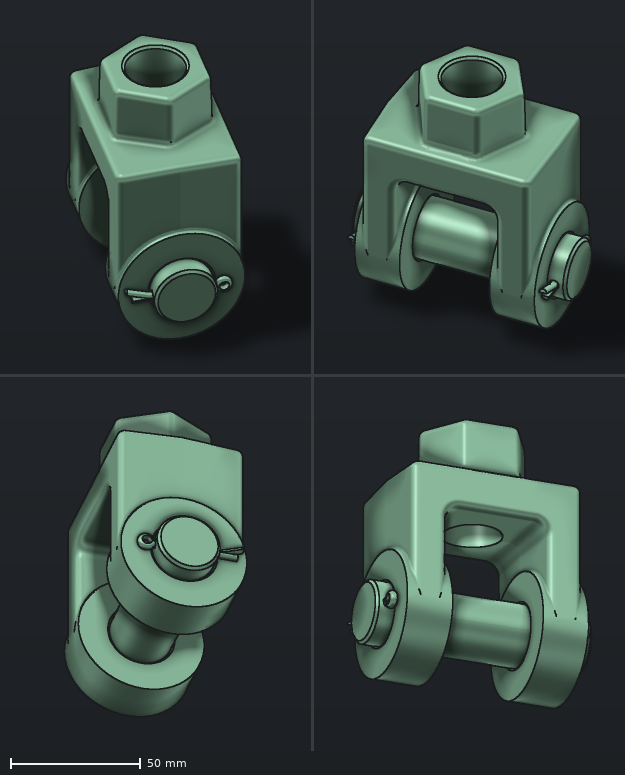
import cadquery as cq
import math


total_height = 104.8
draft_angle = 2.0
edge_radius = 3.1

boss_radius = 25.41
boss_width = 19.2
boss_spacing = 57.3
outer_boss_blend = 1.6
inner_boss_blend = 1.0
hole_chamfer = 0.8

fork_depth = 2 * boss_radius
fork_width = 73.0
fork_top = 57.1
slot_width = 41.4
slot_top = 38.2
slot_corner_radius = 4.9

socket_top = total_height - boss_radius
socket_flats = 39.0
socket_draft = 1.0
socket_blend = 3.1
socket_root = fork_top - 5.2
leg_trim = 10.5
bore_diameter = 23.9
bore_chamfer = 1.0

pin_diameter = 25.4
pin_length = 91.4
pin_chamfer = 1.2
cotter_hole_diameter = 4.0
cotter_spacing = 81.5

wire_radius = 1.62
eye_radius = 1.9
eye_center = 16.0
neck_radius = 1.7
bend_start = 12.5
bend_radius = 8.4
bend_angle = 20.0
bent_leg_length = 8.4
straight_leg_end = 20.6


def is_fork_rim(edge):
    """True for the edges of the end face and for the top corners, but not at the foot of the legs."""
    center = edge.Center()
    box = edge.BoundingBox()
    on_end_face = center.y < 0.01 - fork_depth / 2
    top_corner = box.zmin > slot_top + 2.1 and box.ylen > 1
    foot = center.z < 0 and box.zlen < 1
    return (on_end_face or top_corner) and not foot


def make_fork():
    """Downward U of drafted plates, its rims and outer top corners rounded, with legs down to z = 0."""
    half_width = fork_width / 2
    half_slot = slot_width / 2
    slot_side_top = slot_top - slot_corner_radius
    outline = (
        cq.Workplane("XZ")
        .moveTo(-half_width, -leg_trim)
        .lineTo(-half_width, fork_top)
        .lineTo(half_width, fork_top)
        .lineTo(half_width, -leg_trim)
        .lineTo(half_slot, -leg_trim)
        .lineTo(half_slot, slot_side_top)
        .radiusArc((half_slot - slot_corner_radius, slot_top), -slot_corner_radius)
        .lineTo(-half_slot + slot_corner_radius, slot_top)
        .radiusArc((-half_slot, slot_side_top), -slot_corner_radius)
        .lineTo(-half_slot, -leg_trim)
        .close()
    )
    half_fork = outline.extrude(fork_depth / 2, taper=draft_angle)
    half_fork = half_fork.edges().filter(is_fork_rim).fillet(edge_radius)
    fork = half_fork.union(half_fork.mirror("XZ"))

    below_legs = cq.Workplane("XY").rect(2 * fork_width, 2 * fork_depth).extrude(-2 * leg_trim)
    return fork.cut(below_legs)


def x_cylinder(radius, length, x_middle=0.0):
    """Cylinder along X on the pin axis."""
    return cq.Workplane("YZ", origin=(x_middle - length / 2, 0, 0)).circle(radius).extrude(length)


def boss_root(outer):
    """Test for the curves where the rounded flanks of the legs, outer or inner, run into the bosses."""

    def test(edge):
        middle = edge.positionAt(0.5)
        on_boss = abs(math.hypot(middle.y, middle.z) - boss_radius) < 0.01
        on_outer_flank = abs(middle.x) > boss_spacing / 2
        return on_boss and middle.z > 1 and on_outer_flank == outer

    return test


def is_socket_root(edge):
    """True for the outline of the socket on the top of the fork."""
    middle = edge.positionAt(0.5)
    box = edge.BoundingBox()
    in_height = fork_top - 1 < middle.z < fork_top + 0.1
    crease = box.ylen < 0.01
    beside_socket = abs(middle.x) < 25.1 and abs(middle.y) < fork_depth / 2 - edge_radius - 0.5
    return in_height and beside_socket and not crease


def make_socket():
    """Hexagonal prism with drafted flats and rounded edges, rooted inside the fork."""
    height = socket_top - socket_root
    root_flats = socket_flats + 2 * height * math.tan(math.radians(socket_draft))
    return (
        cq.Workplane("XY", origin=(0, 0, socket_root))
        .polygon(6, root_flats / math.cos(math.pi / 6))
        .extrude(height, taper=socket_draft)
        .edges("not #Z")
        .fillet(edge_radius)
        .faces(">Z")
        .edges()
        .fillet(edge_radius)
    )


def is_hole_rim(edge):
    """True for the circles where the pin hole opens on the boss faces."""
    return edge.geomType() == "CIRCLE" and abs(edge.radius() - pin_diameter / 2) < 0.01


def make_clevis():
    body = make_fork()
    for side in (-1, 1):
        body = body.union(x_cylinder(boss_radius, boss_width, side * boss_spacing / 2))
    body = body.edges().filter(boss_root(outer=True)).fillet(outer_boss_blend)
    body = body.edges().filter(boss_root(outer=False)).fillet(inner_boss_blend)
    body = body.union(make_socket())
    body = body.edges().filter(is_socket_root).fillet(socket_blend)

    bore = (
        cq.Workplane("XY", origin=(0, 0, boss_radius))
        .circle(bore_diameter / 2)
        .extrude(socket_top - boss_radius)
    )
    body = body.cut(bore)
    bore_rim = body.faces(">Z").edges("%CIRCLE")
    body = bore_rim.chamfer(bore_chamfer)

    body = body.cut(x_cylinder(pin_diameter / 2, pin_length))
    return body.edges().filter(is_hole_rim).chamfer(hole_chamfer)


def make_pin():
    pin = x_cylinder(pin_diameter / 2, pin_length).faces("<X or >X").chamfer(pin_chamfer)
    cotter_holes = (
        cq.Workplane("XZ")
        .pushPoints([(-cotter_spacing / 2, 0), (cotter_spacing / 2, 0)])
        .circle(cotter_hole_diameter / 2)
        .extrude(pin_diameter / 2, both=True)
    )
    return pin.cut(cotter_holes)


def half_wire(path, plane):
    """Sweep the half-round wire along a path; its flat side faces -Z at the start."""
    section = (
        cq.Workplane(plane)
        .moveTo(-wire_radius, 0)
        .threePointArc((0, wire_radius), (wire_radius, 0))
        .close()
    )
    return section.sweep(path)


def make_cotter(x_place):
    """Cotter pin along Y: two half-round legs in contact at z = 0, joined by an eye at the +Y end."""
    neck_distance = math.sqrt((eye_radius + neck_radius) ** 2 - neck_radius**2)
    neck_y = eye_center - neck_distance
    touch = eye_radius / (eye_radius + neck_radius)
    touch_y = eye_center - touch * neck_distance
    touch_z = touch * neck_radius
    neck_turn = math.atan2(neck_distance, neck_radius)
    eye_half_turn = (math.pi - math.atan2(neck_radius, neck_distance)) / 2

    def arm(end_y):
        return (
            cq.Workplane("YZ")
            .moveTo(end_y, 0)
            .lineTo(neck_y, 0)
            .threePointArc(
                (
                    neck_y + neck_radius * math.sin(neck_turn / 2),
                    neck_radius - neck_radius * math.cos(neck_turn / 2),
                ),
                (touch_y, touch_z),
            )
            .threePointArc(
                (
                    eye_center + eye_radius * math.cos(eye_half_turn),
                    eye_radius * math.sin(eye_half_turn),
                ),
                (eye_center + eye_radius, 0),
            )
        )

    bend = math.radians(bend_angle)
    bent_end_y = -bend_start - bend_radius * math.sin(bend)
    bent_end_z = bend_radius * (1 - math.cos(bend))
    bend_path = (
        cq.Workplane("YZ")
        .moveTo(-bend_start, 0)
        .threePointArc(
            (-bend_start - bend_radius * math.sin(bend / 2), bend_radius * (1 - math.cos(bend / 2))),
            (bent_end_y, bent_end_z),
        )
        .lineTo(
            bent_end_y - bent_leg_length * math.cos(bend),
            bent_end_z + bent_leg_length * math.sin(bend),
        )
    )

    def start_plane(y):
        return cq.Plane(origin=(0, y, 0), xDir=(1, 0, 0), normal=(0, -1, 0))

    upper = half_wire(arm(-bend_start), start_plane(-bend_start))
    bent_leg = half_wire(bend_path, start_plane(-bend_start))
    lower = half_wire(arm(-straight_leg_end), start_plane(-straight_leg_end)).mirror("XY")
    return upper.union(bent_leg).union(lower).translate((x_place, 0, 0))


clevis = make_clevis()
pin = make_pin()
cotters = [make_cotter(side * cotter_spacing / 2) for side in (-1, 1)]

result = cq.Compound.makeCompound([clevis.val(), pin.val(), *[cotter.val() for cotter in cotters]])